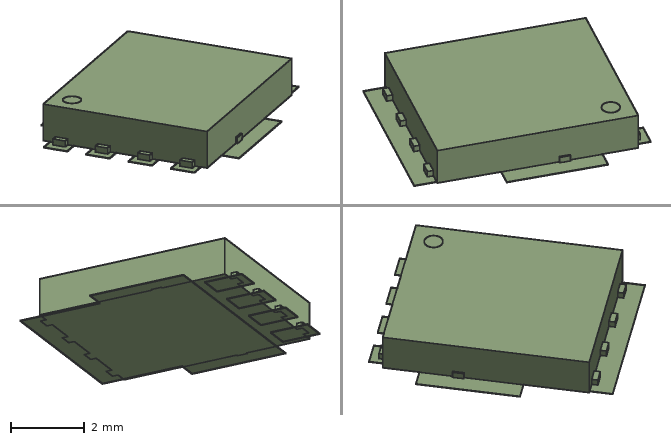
import cadquery as cq

total_width = 5.9
total_length = 6.8
total_height = 1.1
front_y = -total_length / 2
back_y = total_length / 2

pad_thickness = 0.02
tab_width = 4.745
wing_length = 2.9
wing_front_y = front_y + 1.435
lead_pad_width = 0.71
lead_pad_length = 1.14

body_width = 4.895
body_front_y = front_y + 0.415
body_back_y = back_y - 0.64
body_length = body_back_y - body_front_y
body_height = total_height - pad_thickness

lead_count = 4
lead_pitch = 1.265
lead_width = 0.37
lead_top_z = 0.2
lead_projection = 0.17
lead_height = lead_top_z - pad_thickness
side_lead_length = 0.31
side_lead_front_y = front_y + 2.365
side_lead_projection = 0.05

mark_diameter = 0.51
mark_depth = 0.01
mark_x = -1.85
mark_y = front_y + 1.02


def block(width, length, height, center_x, start_y, base_z):
    """Box centred on center_x, running toward +Y from start_y and up from base_z."""
    return (
        cq.Workplane("XY")
        .box(width, length, height, centered=(True, False, False))
        .translate((center_x, start_y, base_z))
    )


lead_centers = [(i - (lead_count - 1) / 2) * lead_pitch for i in range(lead_count)]


def make_pads():
    """Cross-shaped thermal pad and the row of separate lead pads."""
    tab_length = back_y - wing_front_y
    pads = block(tab_width, tab_length, pad_thickness, 0, wing_front_y, 0)
    pads = pads.union(block(total_width, wing_length, pad_thickness, 0, wing_front_y, 0))
    for x in lead_centers:
        pads = pads.union(block(lead_pad_width, lead_pad_length, pad_thickness, x, front_y, 0))
    return pads


def make_leads():
    """Bars through the body whose ends project at the front, back and sides."""
    bar_length = body_length + 2 * lead_projection
    bar_width = body_width + 2 * side_lead_projection
    leads = block(bar_width, side_lead_length, lead_height, 0, side_lead_front_y, pad_thickness)
    for x in lead_centers:
        bar_start_y = body_front_y - lead_projection
        leads = leads.union(block(lead_width, bar_length, lead_height, x, bar_start_y, pad_thickness))
    return leads


def make_mark():
    """Shallow round recess beside the first lead."""
    return (
        cq.Workplane("XY", origin=(mark_x, mark_y, total_height - mark_depth))
        .circle(mark_diameter / 2)
        .extrude(mark_depth)
    )


body = block(body_width, body_length, body_height, 0, body_front_y, pad_thickness)
result = body.union(make_pads()).union(make_leads()).cut(make_mark())